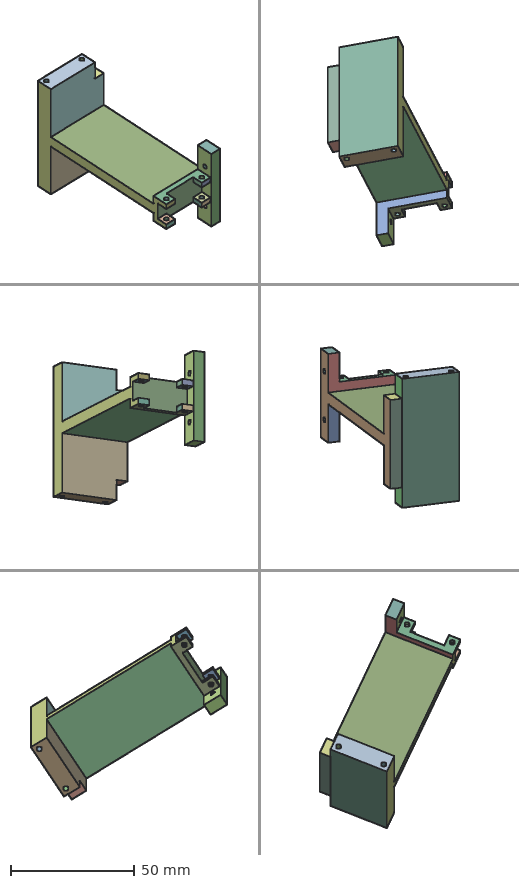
import cadquery as cq

length = 75.5
depth = 30.0
height = 55.0

strip_thickness = 5.0
strip_height = 37.9
left_strip_start = 0.5
body_depth = depth - strip_thickness

block_width = 7.6
web_thickness = 5.0
right_end_start = 67.5

bracket_end = 75.0
bracket_height = 13.0
bracket_wall = 2.5
channel_height = 8.0
flange_gap = 15.0

hole_diameter = 2.05
hole_inset = 2.5
blind_hole_depth = 10.0
strip_hole_x = 71.7
strip_hole_spacing = 20.5


def slab(x_start, x_end, y_start, y_end, thickness):
    """Box between the given X and Y limits, centred on Z = 0."""
    return (
        cq.Workplane("XY")
        .box(x_end - x_start, y_end - y_start, thickness, centered=(False, False, True))
        .translate((x_start, y_start, 0))
    )


def vertical_hole(x, y, z_start, z_end):
    """Cylinder along Z that cuts one screw hole."""
    return (
        cq.Workplane("XY", origin=(x, y, z_start))
        .circle(hole_diameter / 2)
        .extrude(z_end - z_start)
    )


body = slab(0, block_width, 0, body_depth, height)
body = body.union(slab(block_width, right_end_start, 0, depth, web_thickness))
body = body.union(slab(left_strip_start, block_width, body_depth, depth, strip_height))
body = body.union(slab(right_end_start, length, body_depth, depth, strip_height))

channel_floor = right_end_start + bracket_wall
gap_start = (body_depth - flange_gap) / 2
bracket = slab(right_end_start, bracket_end, 0, body_depth, bracket_height)
bracket = bracket.cut(slab(channel_floor, bracket_end, 0, body_depth, channel_height))
bracket = bracket.cut(
    slab(channel_floor, bracket_end, gap_start, gap_start + flange_gap, bracket_height)
)
body = body.union(bracket)

for hole_y in (hole_inset, body_depth - hole_inset):
    blind_bottom = height / 2 - blind_hole_depth
    body = body.cut(vertical_hole(hole_inset, hole_y, blind_bottom, height / 2))
    body = body.cut(vertical_hole(hole_inset, hole_y, -height / 2, -blind_bottom))
    lug_hole_x = bracket_end - hole_inset
    body = body.cut(vertical_hole(lug_hole_x, hole_y, -bracket_height / 2, bracket_height / 2))

strip_holes = (
    cq.Workplane("XZ", origin=(strip_hole_x, depth, 0))
    .pushPoints([(0, -strip_hole_spacing / 2), (0, strip_hole_spacing / 2)])
    .circle(hole_diameter / 2)
    .extrude(strip_thickness)
)
result = body.cut(strip_holes)